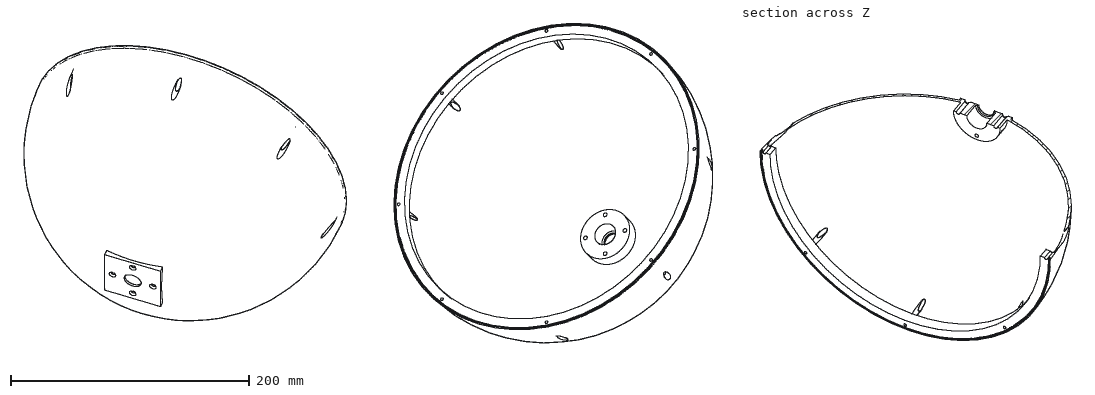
import cadquery as cq
import math

outer_diameter = 279.7
inner_diameter = 274.0
outer_radius = outer_diameter / 2
inner_radius = inner_diameter / 2

flange_inner_diameter = 260.0
flange_thickness = 10.0
groove_outer_diameter = 277.7
groove_inner_diameter = 276.0
groove_depth = 2.2

rim_screw_count = 8
rim_screw_circle_diameter = 270.7
rim_screw_diameter = 2.4
rim_head_diameter = 5.0

plate_side = 50.0
plate_face_y = -140.0
boss_diameter = 45.0
boss_back_y = -123.0

mouth_diameter = 15.0
mouth_depth = 2.0
bore_diameter = 19.0

plate_screw_count = 4
plate_screw_circle_diameter = 36.0
plate_screw_diameter = 3.4
plate_head_diameter = 6.0
countersink_depth = 1.7


def cylinder_y(diameter, y_start, y_end, x=0.0, z=0.0):
    """Cylinder parallel to Y, running from y_start to y_end."""
    direction = cq.Vector(0, 1 if y_end > y_start else -1, 0)
    solid = cq.Solid.makeCylinder(diameter / 2, abs(y_end - y_start), cq.Vector(x, y_start, z), direction)
    return cq.Workplane(obj=solid)


def half_ball(radius):
    """Solid half ball on the -Y side of the rim plane."""
    return (
        cq.Workplane("XY")
        .lineTo(radius, 0)
        .radiusArc((0, -radius), radius)
        .close()
        .revolve(360, (0, 0, 0), (0, 1, 0))
    )


def circle_positions(count, circle_diameter):
    """X, Z positions spread evenly around the Y axis."""
    radius = circle_diameter / 2
    angles = [2 * math.pi * i / count for i in range(count)]
    return [(radius * math.cos(angle), radius * math.sin(angle)) for angle in angles]


def make_body():
    """Shell with its rim flange, pole plate and inner boss."""
    outer_ball = half_ball(outer_radius)
    flange_opening = cylinder_y(flange_inner_diameter, 0, -flange_thickness)
    flange_zone = cylinder_y(outer_diameter, 0, -flange_thickness).cut(flange_opening)
    cavity = half_ball(inner_radius).cut(flange_zone)
    boss = cylinder_y(boss_diameter, boss_back_y, -inner_radius)
    plate_depth = boss_back_y - plate_face_y
    plate = (
        cq.Workplane("XY")
        .box(plate_side, plate_depth, plate_side)
        .translate((0, plate_face_y + plate_depth / 2, 0))
        .cut(half_ball(inner_radius))
    )
    return outer_ball.cut(cavity.cut(boss)).union(plate)


def cut_rim_details(body):
    """Locating groove and screw holes whose head clearance breaks through the shell."""
    groove_core = cylinder_y(groove_inner_diameter, 0, -groove_depth)
    groove = cylinder_y(groove_outer_diameter, 0, -groove_depth).cut(groove_core)
    body = body.cut(groove)
    for x, z in circle_positions(rim_screw_count, rim_screw_circle_diameter):
        body = body.cut(cylinder_y(rim_screw_diameter, 0, -flange_thickness, x, z))
        body = body.cut(cylinder_y(rim_head_diameter, -flange_thickness, -outer_radius, x, z))
    return body


def cut_pole_details(body):
    """Stepped central opening and countersunk screw holes of the plate."""
    body = body.cut(cylinder_y(mouth_diameter, plate_face_y, boss_back_y))
    body = body.cut(cylinder_y(bore_diameter, plate_face_y + mouth_depth, boss_back_y))
    for x, z in circle_positions(plate_screw_count, plate_screw_circle_diameter):
        countersink = cq.Solid.makeCone(
            plate_head_diameter / 2,
            plate_screw_diameter / 2,
            countersink_depth,
            cq.Vector(x, plate_face_y, z),
            cq.Vector(0, 1, 0),
        )
        body = body.cut(cylinder_y(plate_screw_diameter, plate_face_y, boss_back_y, x, z))
        body = body.cut(cq.Workplane(obj=countersink))
    return body


result = cut_pole_details(cut_rim_details(make_body()))